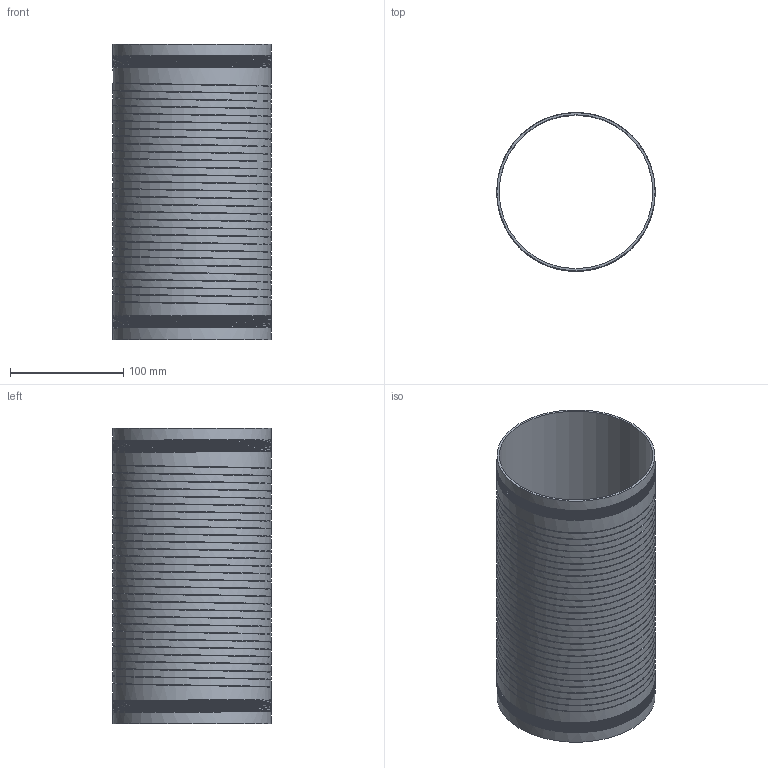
import cadquery as cq

OUTER_RADIUS = 70.0
WALL = 2.0
LENGTH = 261.0

GROOVE_WIDTH = 0.5
GROOVE_DEPTH = 0.2
MOUTH_CLEARANCE = 0.1

COARSE_LENGTH = 200.0
COARSE_TURNS = 30

FINE_LENGTH = 11.2
FINE_TURNS = 11
PLAIN_GAP = 9.4

coarse_start = (LENGTH - COARSE_LENGTH) / 2
lower_fine_start = coarse_start - PLAIN_GAP - FINE_LENGTH
upper_fine_start = coarse_start + COARSE_LENGTH + PLAIN_GAP


def make_tube():
    """Straight tube with open ends."""
    inner_radius = OUTER_RADIUS - WALL
    return cq.Workplane("XY").circle(OUTER_RADIUS).circle(inner_radius).extrude(LENGTH)


def helical_cutter(start, length, turns, left_handed):
    """V-shaped cutter on a helix that begins on the +X side at the height `start`."""
    path = cq.Wire.makeHelix(length / turns, length, OUTER_RADIUS, lefthand=left_handed)
    mouth_radius = OUTER_RADIUS + MOUTH_CLEARANCE
    flank_slope = GROOVE_WIDTH / 2 / GROOVE_DEPTH
    mouth_half_width = flank_slope * (GROOVE_DEPTH + MOUTH_CLEARANCE)
    cutter = (
        cq.Workplane("XZ")
        .moveTo(OUTER_RADIUS - GROOVE_DEPTH, 0)
        .lineTo(mouth_radius, mouth_half_width)
        .lineTo(mouth_radius, -mouth_half_width)
        .close()
        .sweep(cq.Workplane(obj=path), isFrenet=True)
    )
    return cutter.translate((0, 0, start))


result = make_tube()
result = result.cut(helical_cutter(coarse_start, COARSE_LENGTH, COARSE_TURNS, left_handed=True))
for fine_start in (lower_fine_start, upper_fine_start):
    result = result.cut(helical_cutter(fine_start, FINE_LENGTH, FINE_TURNS, left_handed=False))